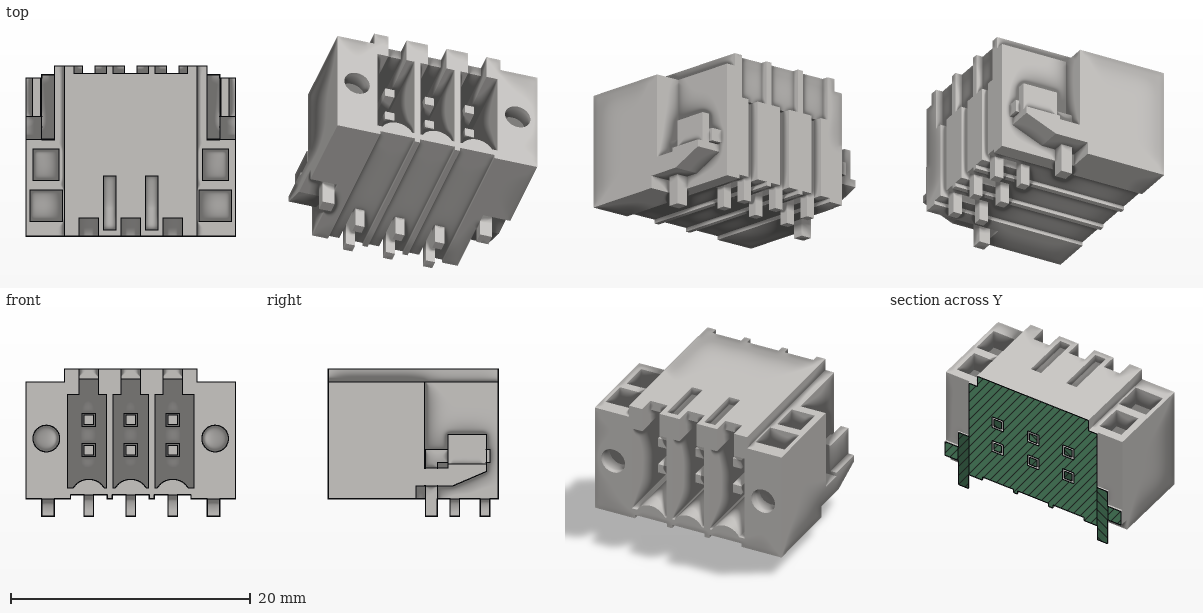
import cadquery as cq


width = 17.5
depth = 14.2
height = 10.83
tail_length = 1.47
half_width = width / 2
cover_half_width = 5.53
shoulder_z = 9.75
core_half_width = 6.37
tower_depth = 8.05

pole_count = 3
pole_pitch = 3.5
pole_centres = [(i - (pole_count - 1) / 2) * pole_pitch for i in range(pole_count)]
divider_xs = [(i - pole_count / 2) * pole_pitch for i in range(1, pole_count)]

cavity_half_span = 5.27
cavity_divider = 0.52
cavity_floor_z = 0.9
cavity_roof_z = 8.68
key_width = 1.61
key_roof_z = 9.98
key_mouth_depth = 1.5
hump_radius = 1.5
hump_top_z = 1.63

top_slot_width = 1.02
top_slot_front = 0.52
top_slot_rear = 5.04
top_slot_depth = 0.7

standoff = 0.33
standoff_half_span = 5.0
standoff_divider = 0.45
rear_recess_depth = 0.61
rear_half_span = 4.75
rear_divider = 0.56
lead_channel_width = 1.02

pin_size = 0.8
upper_pin_z = 6.58
pin_spacing = 2.52
lower_pin_z = upper_pin_z - pin_spacing
upper_leg_y = depth - 1.12
lower_leg_y = upper_leg_y - pin_spacing
pin_tip_y = 2.1
pin_recess_size = 1.08
pin_recess_depth = 0.35
lead_channel_front = lower_leg_y - pin_size / 2
lead_channel_top = upper_pin_z + pin_recess_size / 2

screw_hole_x = 7.04
screw_hole_z = 5.02
screw_hole_diameter = 2.22
screw_hole_depth = 1.47
well_depth = 1.75
front_well_inner, front_well_outer = 5.7, 8.4
front_well_front = 1.25
rear_well_inner, rear_well_outer = 5.97, 8.15
rear_well_front = 4.64
well_length = 2.62
tower_foot_z = 1.07
tower_foot_depth = 7.32

arm_top_z = 2.55
arm_end_y = depth - 1.0
arm_slope_start_y = depth - 3.82
arm_end_bottom_z = 2.28
arm_block_front = depth - 4.2
arm_ledge_z = 2.89
arm_block_top_z = 5.37
arm_block_inner = 7.5
arm_block_outer = 8.2

bracket_outer = 7.42
bracket_gap = 0.05
bracket_front = tower_depth + bracket_gap
bracket_rear = depth - 0.72
bracket_leg = 1.0
bracket_bottom_z = 3.01
bracket_top_z = 4.1


def block(x_range, y_range, z_range):
    """Box between two limits on each axis; the limits may come in either order."""
    spans = [sorted(limits) for limits in (x_range, y_range, z_range)]
    sizes = [high - low for low, high in spans]
    corner = [low for low, _ in spans]
    return cq.Workplane("XY").box(*sizes, centered=False).translate(tuple(corner))


def bays(half_span, divider):
    """Left and right edges of the pole bays that the dividers leave within a span."""
    lefts = [-half_span] + [x + divider / 2 for x in divider_xs]
    rights = [x - divider / 2 for x in divider_xs] + [half_span]
    return list(zip(lefts, rights))


def centred(middle, size):
    return (middle - size / 2, middle + size / 2)


def housing_blank():
    core = block((-core_half_width, core_half_width), (0, depth), (0, shoulder_z))
    cover = block((-cover_half_width, cover_half_width), (0, depth), (0, height))
    towers = block((-half_width, half_width), (0, tower_depth), (0, shoulder_z))
    return core.union(cover).union(towers)


def retaining_arm(side):
    """Arm with a sloped underside, a slot for the bracket leg and an upright block at its end."""
    outline = [
        (tower_foot_depth, tower_foot_z),
        (arm_slope_start_y, tower_foot_z),
        (arm_end_y, arm_end_bottom_z),
        (arm_end_y, arm_ledge_z),
        (arm_block_front, arm_ledge_z),
        (arm_block_front, arm_top_z),
        (tower_foot_depth, arm_top_z),
    ]
    bar = (
        cq.Workplane("YZ", origin=(side * half_width, 0, 0))
        .polyline(outline)
        .close()
        .extrude(-side * (half_width - core_half_width))
    )
    upright = block(
        (side * arm_block_inner, side * arm_block_outer),
        (arm_block_front, arm_end_y),
        (arm_ledge_z, arm_block_top_z),
    )
    leg_slot = block(
        (side * core_half_width, side * bracket_outer),
        (tower_depth, bracket_front + bracket_leg),
        (0, arm_top_z),
    )
    return bar.cut(leg_slot).union(upright)


def plug_cavity(centre, left, right):
    """Cavity with a keyway along its roof and a rounded hump along its floor."""
    cavity = block((left, right), (0, tower_depth), (cavity_floor_z, cavity_roof_z))
    hump = (
        cq.Workplane("XZ", origin=(centre, 0, hump_top_z - hump_radius))
        .circle(hump_radius)
        .extrude(-tower_depth)
    )
    key_x = centred(centre, key_width)
    keyway = block(key_x, (0, tower_depth), (cavity_roof_z, key_roof_z))
    mouth = block(key_x, (0, key_mouth_depth), (cavity_roof_z, height))
    return cavity.cut(hump).union(keyway).union(mouth)


def top_slot(x):
    return block(
        centred(x, top_slot_width),
        (top_slot_front, top_slot_rear),
        (height - top_slot_depth, height),
    )


def rear_lead_cuts(centre, left, right):
    """Step below the rear edge of the top and the channel for the pin legs of one pole."""
    step = block((left, right), (depth - rear_recess_depth, depth), (lead_channel_top, height))
    channel = block(
        centred(centre, lead_channel_width), (lead_channel_front, depth), (0, lead_channel_top)
    )
    return step.union(channel)


def pin_recess(x, z):
    """Square recess around a pin where it enters its cavity."""
    return block(
        centred(x, pin_recess_size),
        (tower_depth, tower_depth + pin_recess_depth),
        centred(z, pin_recess_size),
    )


def tower_cuts(side):
    """Screw hole, two wells from the top and the step under the rear of one tower."""
    screw_hole = (
        cq.Workplane("XZ", origin=(side * screw_hole_x, 0, screw_hole_z))
        .circle(screw_hole_diameter / 2)
        .extrude(-screw_hole_depth)
    )
    well_z = (shoulder_z - well_depth, shoulder_z)
    front_well = block(
        (side * front_well_inner, side * front_well_outer),
        (front_well_front, front_well_front + well_length),
        well_z,
    )
    rear_well = block(
        (side * rear_well_inner, side * rear_well_outer),
        (rear_well_front, rear_well_front + well_length),
        well_z,
    )
    foot_step = block(
        (side * core_half_width, side * half_width),
        (tower_foot_depth, tower_depth),
        (0, tower_foot_z),
    )
    return screw_hole.union(front_well).union(rear_well).union(foot_step)


def make_pin(x, z, leg_y):
    """Bent square pin: a contact along Y and a leg down through the board."""
    leg_rear = leg_y + pin_size / 2
    contact = block(centred(x, pin_size), (pin_tip_y, leg_rear), centred(z, pin_size))
    leg = block(centred(x, pin_size), centred(leg_y, pin_size), (-tail_length, z))
    return contact.union(leg).clean()


def make_solder_bracket(side):
    """Flat bar beside the housing with a leg down through the board at its front end."""
    x_range = (side * core_half_width, side * bracket_outer)
    bar = block(x_range, (bracket_front, bracket_rear), (bracket_bottom_z, bracket_top_z))
    leg = block(x_range, (bracket_front, bracket_front + bracket_leg), (-tail_length, bracket_top_z))
    return bar.union(leg).clean()


def make_housing(inserted_pins):
    body = housing_blank()
    for side in (-1, 1):
        body = body.cut(tower_cuts(side)).union(retaining_arm(side))
    for centre, (left, right) in zip(pole_centres, bays(cavity_half_span, cavity_divider)):
        body = body.cut(plug_cavity(centre, left, right))
        for z in (upper_pin_z, lower_pin_z):
            body = body.cut(pin_recess(centre, z))
    for x in divider_xs:
        body = body.cut(top_slot(x))
    for left, right in bays(standoff_half_span, standoff_divider):
        body = body.cut(block((left, right), (0, depth), (0, standoff)))
    for centre, (left, right) in zip(pole_centres, bays(rear_half_span, rear_divider)):
        body = body.cut(rear_lead_cuts(centre, left, right))
    for pin in inserted_pins:
        body = body.cut(pin)
    return body.solids()


pins = []
for pole_x in pole_centres:
    pins.append(make_pin(pole_x, upper_pin_z, upper_leg_y))
    pins.append(make_pin(pole_x, lower_pin_z, lower_leg_y))
solder_brackets = [make_solder_bracket(side) for side in (-1, 1)]
housing = make_housing(pins)

result = cq.Compound.makeCompound(
    [housing.val(), *[pin.val() for pin in pins], *[bracket.val() for bracket in solder_brackets]]
)